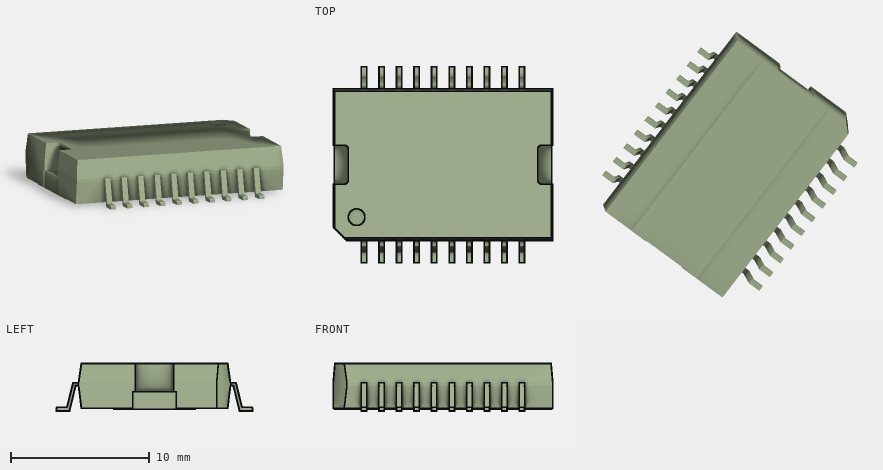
import cadquery as cq

BODY_LENGTH = 15.9
BODY_WIDTH = 11.0
BODY_BOTTOM_Z = 0.2
BODY_TOP_Z = 3.45
PARTING_Z = 2.05
END_DRAFT = 0.12
SIDE_DRAFT = 0.2
CORNER_CHAMFER = 1.0

MARK_DIAMETER = 1.2
MARK_X = -6.25
MARK_Y = -3.8
MARK_DEPTH = 0.1

SLUG_LENGTH = 15.77
SLUG_END_WIDTH = 3.16
SLUG_PAD_WIDTH = 5.9
SLUG_BOTTOM_Z = 0.12
SLUG_TOP_Z = 1.4
NOTCH_WIDTH = 2.82
NOTCH_DEPTH = 1.1
NOTCH_RADIUS = 0.3

LEADS_PER_SIDE = 10
LEAD_PITCH = 1.27
LEAD_WIDTH = 0.4
LEAD_THICKNESS = 0.23
FOOT_THICKNESS = 0.28
LEAD_SPAN = 14.2
FOOT_TOP_LENGTH = 0.77
FOOT_BOTTOM_LENGTH = 0.95
SHOULDER_OUTER_LENGTH = 0.4
SHOULDER_INNER_LENGTH = 0.2
LEAD_EMBED = 0.5
BEND_RADIUS = 0.1
TIP_RADIUS = 0.1

HALF_LENGTH = BODY_LENGTH / 2
HALF_WIDTH = BODY_WIDTH / 2
ENDS = (-1, 1)


def make_body():
    """Body drafted on its Y sides and upper X ends, with a flat band as tall as the leads."""
    band_bottom_z = PARTING_Z - LEAD_THICKNESS
    inset_width = HALF_WIDTH - SIDE_DRAFT
    top_length = HALF_LENGTH - END_DRAFT
    cross_section = [
        (-inset_width, BODY_BOTTOM_Z),
        (inset_width, BODY_BOTTOM_Z),
        (HALF_WIDTH, band_bottom_z),
        (HALF_WIDTH, PARTING_Z),
        (inset_width, BODY_TOP_Z),
        (-inset_width, BODY_TOP_Z),
        (-HALF_WIDTH, PARTING_Z),
        (-HALF_WIDTH, band_bottom_z),
    ]
    long_section = [
        (-HALF_LENGTH, BODY_BOTTOM_Z),
        (HALF_LENGTH, BODY_BOTTOM_Z),
        (HALF_LENGTH, PARTING_Z),
        (top_length, BODY_TOP_Z),
        (-top_length, BODY_TOP_Z),
        (-HALF_LENGTH, PARTING_Z),
    ]
    along_x = cq.Workplane("YZ").polyline(cross_section).close().extrude(HALF_LENGTH, both=True)
    along_y = cq.Workplane("XZ").polyline(long_section).close().extrude(HALF_WIDTH, both=True)
    return along_x.intersect(along_y)


def make_corner_cutter():
    """Triangular prism that chamfers the pin 1 corner."""
    return (
        cq.Workplane("XY")
        .moveTo(-HALF_LENGTH, -HALF_WIDTH)
        .lineTo(-HALF_LENGTH + CORNER_CHAMFER, -HALF_WIDTH)
        .lineTo(-HALF_LENGTH, -HALF_WIDTH + CORNER_CHAMFER)
        .close()
        .extrude(BODY_TOP_Z)
    )


def make_mark_cutter():
    """Shallow round recess beside pin 1."""
    return (
        cq.Workplane("XY", origin=(MARK_X, MARK_Y, BODY_TOP_Z - MARK_DEPTH))
        .circle(MARK_DIAMETER / 2)
        .extrude(MARK_DEPTH)
    )


def make_notch_cutter(end):
    """Round-cornered notch above the slug; the box is centred on the end face."""
    return (
        cq.Workplane("XY", origin=(end * HALF_LENGTH, 0, SLUG_TOP_Z))
        .rect(2 * NOTCH_DEPTH, NOTCH_WIDTH)
        .extrude(BODY_TOP_Z - SLUG_TOP_Z)
        .edges("|Z")
        .fillet(NOTCH_RADIUS)
    )


def make_slug_end_cutter(end):
    """Thin cut that sets the exposed slug end back from the body end."""
    setback = (BODY_LENGTH - SLUG_LENGTH) / 2
    return (
        cq.Workplane("XY", origin=(end * HALF_LENGTH, 0, BODY_BOTTOM_Z))
        .rect(2 * setback, SLUG_END_WIDTH)
        .extrude(SLUG_TOP_Z - BODY_BOTTOM_Z)
    )


def make_slug_pad():
    """Flat base of the slug, standing slightly below the body."""
    return (
        cq.Workplane("XY", origin=(0, 0, SLUG_BOTTOM_Z))
        .rect(SLUG_LENGTH, SLUG_PAD_WIDTH)
        .extrude(BODY_BOTTOM_Z - SLUG_BOTTOM_Z)
    )


def make_lead():
    """One lead at X = 0 on the +Y side, with rounded bends and a rounded tip edge."""
    tip_y = LEAD_SPAN / 2
    root_y = HALF_WIDTH - LEAD_EMBED
    shoulder_bottom_z = PARTING_Z - LEAD_THICKNESS
    upper_outer = (HALF_WIDTH + SHOULDER_OUTER_LENGTH, PARTING_Z)
    lower_inner = (tip_y - FOOT_TOP_LENGTH, FOOT_THICKNESS)
    tip_top = (tip_y, FOOT_THICKNESS)
    profile = [
        (root_y, PARTING_Z),
        upper_outer,
        lower_inner,
        tip_top,
        (tip_y, 0),
        (tip_y - FOOT_BOTTOM_LENGTH, 0),
        (HALF_WIDTH + SHOULDER_INNER_LENGTH, shoulder_bottom_z),
        (root_y, shoulder_bottom_z),
    ]
    lead = cq.Workplane("YZ").polyline(profile).close().extrude(LEAD_WIDTH / 2, both=True)
    for (y, z), radius in (
        (upper_outer, BEND_RADIUS),
        (lower_inner, BEND_RADIUS),
        (tip_top, TIP_RADIUS),
    ):
        lead = lead.edges(cq.NearestToPointSelector((0, y, z))).fillet(radius)
    return lead


def add_leads(part):
    """Place a row of leads along each Y side."""
    lead = make_lead()
    first_x = -(LEADS_PER_SIDE - 1) * LEAD_PITCH / 2
    for index in range(LEADS_PER_SIDE):
        placed = lead.translate((first_x + index * LEAD_PITCH, 0, 0))
        part = part.union(placed).union(placed.mirror("XZ"))
    return part


part = make_body().cut(make_corner_cutter()).cut(make_mark_cutter())
for end in ENDS:
    part = part.cut(make_notch_cutter(end)).cut(make_slug_end_cutter(end))
part = part.union(make_slug_pad())
result = add_leads(part)